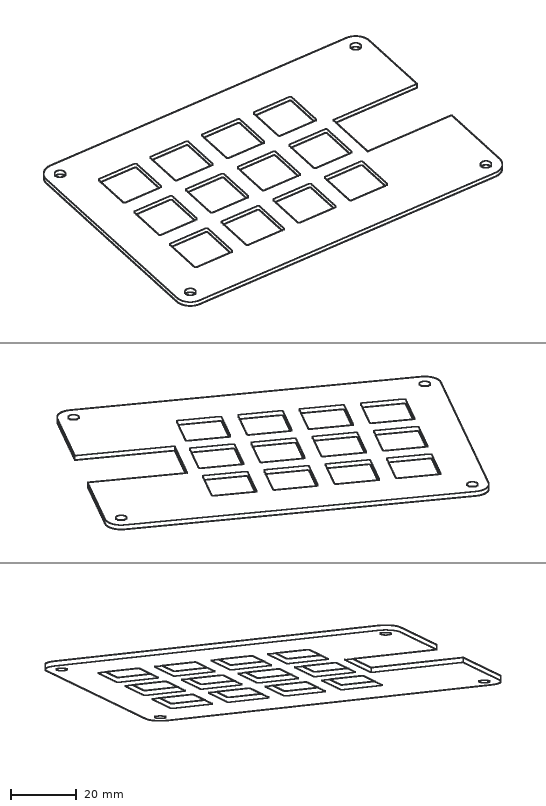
import cadquery as cq

plate_width = 80.0
plate_length = 119.5
plate_thickness = 1.5
corner_radius = 5.0

screw_hole_diameter = 3.3
screw_spacing_x = plate_width - 2 * corner_radius
screw_spacing_y = plate_length - 2 * corner_radius

window_columns = 3
window_rows = 4
window_size = 14.0
window_pitch = 19.1
window_corner_radius = 0.5
bottom_row_to_edge = 20.0
window_grid_y = (
    -plate_length / 2 + bottom_row_to_edge + (window_rows - 1) * window_pitch / 2
)

notch_width = 18.5
notch_depth = 31.1


def make_plate():
    return (
        cq.Workplane("XY")
        .rect(plate_width, plate_length)
        .extrude(plate_thickness)
        .edges("|Z")
        .fillet(corner_radius)
    )


def make_screw_holes():
    return (
        cq.Workplane("XY")
        .rect(screw_spacing_x, screw_spacing_y, forConstruction=True)
        .vertices()
        .circle(screw_hole_diameter / 2)
        .extrude(plate_thickness)
    )


def make_key_windows():
    return (
        cq.Workplane("XY")
        .center(0, window_grid_y)
        .rarray(window_pitch, window_pitch, window_columns, window_rows)
        .rect(window_size, window_size)
        .extrude(plate_thickness)
        .edges("|Z")
        .fillet(window_corner_radius)
    )


def make_notch():
    return (
        cq.Workplane("XY")
        .center(0, (plate_length - notch_depth) / 2)
        .rect(notch_width, notch_depth)
        .extrude(plate_thickness)
    )


result = (
    make_plate()
    .cut(make_screw_holes())
    .cut(make_key_windows())
    .cut(make_notch())
)